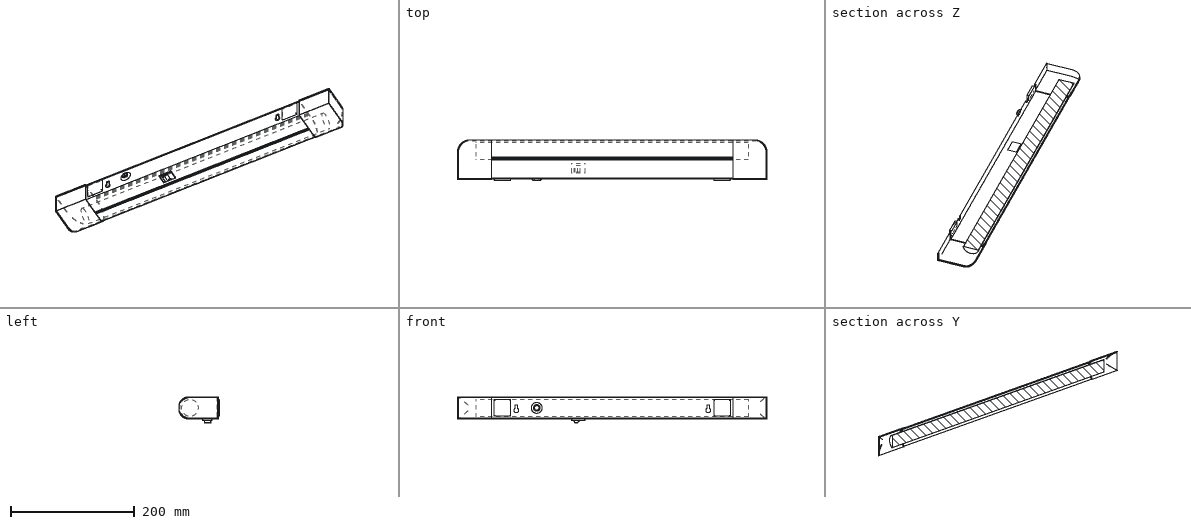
import cadquery as cq
import math


LENGTH = 500.0
BACK_Y = 33.0
FRONT_Y = -33.0
TOP_Z = 21.0
BOTTOM_Z = -21.0
BODY_HEIGHT = 36.0
HALF_HEIGHT = BODY_HEIGHT / 2
MID_Z = TOP_Z - HALF_HEIGHT
BODY_BOTTOM_Z = TOP_Z - BODY_HEIGHT
WALL = 1.5

HOUSING_LENGTH = 390.0
HOUSING_FRONT_Y = -30.0
HOUSING_EDGE_RADIUS = 1.25

GROOVE_Y = 3.0
GROOVE_WIDTH = 4.5
GROOVE_FLOOR_WIDTH = 1.5
GROOVE_DEPTH = 0.5

KEYHOLE_X = 155.0
KEYHOLE_Z = -1.0
KEYHOLE_DIAMETER = 7.5
KEYHOLE_SLOT_WIDTH = 4.5
KEYHOLE_TOP_Z = 8.0

PAD_X = 177.5
PAD_SIZE = 26.5
PAD_EDGE_RADIUS = 1.4

BUSH_X = -122.0
BUSH_BASE_DIAMETER = 17.5
BUSH_TIP_DIAMETER = 10.5
BUSH_HOLE_DIAMETER = 7.5

SWITCH_X = -55.0
SWITCH_Y = -13.0
SWITCH_PLATE_LENGTH = 21.5
SWITCH_PLATE_WIDTH = 15.0
SWITCH_PLATE_THICKNESS = 2.5
ROCKER_X = -57.0
ROCKER_Y = -13.5
ROCKER_LENGTH = 10.0
ROCKER_WIDTH = 10.5
ROCKER_LEAN = 1.5
ROCKER_FLAT_LENGTH = 4.0

CAP_LENGTH = (LENGTH - HOUSING_LENGTH) / 2
CAP_FRONT_Y = -31.0
CAP_BACK_RADIUS = 16.0
CAP_END_RADIUS = 20.0

LAMP_DIAMETER = 27.0
LAMP_LENGTH = 440.0
LAMP_Y = BACK_Y - HALF_HEIGHT


def bar(start_x, length, front_y, back_radius, inset=0.0):
    """Bar along X with a flat front and two rounded back edges, shrunk by inset all round."""
    radius = back_radius - inset
    half_height = HALF_HEIGHT - inset
    front = front_y + inset
    back = BACK_Y - inset
    tangent_y = back - radius
    flat_half = half_height - radius
    diagonal = radius * math.sqrt(0.5)
    outline = (
        cq.Workplane("YZ", origin=(start_x, 0, MID_Z))
        .moveTo(front, -half_height)
        .lineTo(tangent_y, -half_height)
        .threePointArc((tangent_y + diagonal, -flat_half - diagonal), (back, -flat_half))
    )
    if flat_half > 0:
        outline = outline.lineTo(back, flat_half)
    outline = outline.threePointArc((tangent_y + diagonal, flat_half + diagonal), (tangent_y, half_height))
    return outline.lineTo(front, half_height).close().extrude(length)


def groove(surface_z, inward):
    """Cutter for a flared groove; inward is -1 below a top surface and +1 above a bottom one."""
    floor_z = surface_z + inward * GROOVE_DEPTH
    return (
        cq.Workplane("YZ", origin=(-HOUSING_LENGTH / 2, GROOVE_Y, 0))
        .polyline([
            (-GROOVE_WIDTH / 2, surface_z),
            (GROOVE_WIDTH / 2, surface_z),
            (GROOVE_FLOOR_WIDTH / 2, floor_z),
            (-GROOVE_FLOOR_WIDTH / 2, floor_z),
        ])
        .close()
        .extrude(HOUSING_LENGTH)
    )


def keyhole(x):
    """Cutter for a keyhole through the front wall: round entry below, narrow slot above."""
    plane = cq.Workplane("XZ", origin=(x, HOUSING_FRONT_Y, 0))
    entry = plane.center(0, KEYHOLE_Z).circle(KEYHOLE_DIAMETER / 2).extrude(-WALL)
    slot_height = KEYHOLE_TOP_Z - KEYHOLE_Z
    slot = (
        plane.center(0, KEYHOLE_Z + slot_height / 2)
        .rect(KEYHOLE_SLOT_WIDTH, slot_height)
        .extrude(-WALL)
    )
    return entry.union(slot)


def pad(x):
    """Square pad on the front face with rounded outer edges."""
    depth = HOUSING_FRONT_Y - FRONT_Y
    block = (
        cq.Workplane("XZ", origin=(x, HOUSING_FRONT_Y, MID_Z))
        .rect(PAD_SIZE, PAD_SIZE)
        .extrude(depth)
    )
    return block.faces("<Y").edges().fillet(PAD_EDGE_RADIUS)


def bush():
    """Conical bush on the front face."""
    tip_y = HOUSING_FRONT_Y - FRONT_Y
    return (
        cq.Workplane("XY")
        .polyline([(0, 0), (BUSH_BASE_DIAMETER / 2, 0), (BUSH_TIP_DIAMETER / 2, -tip_y), (0, -tip_y)])
        .close()
        .revolve(360, (0, 0, 0), (0, 1, 0))
        .translate((BUSH_X, HOUSING_FRONT_Y, MID_Z))
    )


def bush_hole():
    """Cutter for the blind hole in the tip of the bush, as deep as the bush is tall."""
    return (
        cq.Workplane("XZ", origin=(BUSH_X, FRONT_Y, MID_Z))
        .circle(BUSH_HOLE_DIAMETER / 2)
        .extrude(FRONT_Y - HOUSING_FRONT_Y)
    )


def switch():
    """Switch plate with a tilted rocker below it."""
    plate = (
        cq.Workplane("XY", origin=(SWITCH_X, SWITCH_Y, BODY_BOTTOM_Z))
        .rect(SWITCH_PLATE_LENGTH, SWITCH_PLATE_WIDTH)
        .extrude(-SWITCH_PLATE_THICKNESS)
    )
    plate_z = BODY_BOTTOM_Z - SWITCH_PLATE_THICKNESS
    rocker_start = -ROCKER_LENGTH / 2
    flat_start = rocker_start + ROCKER_LEAN
    rocker = (
        cq.Workplane("XZ", origin=(ROCKER_X, ROCKER_Y, 0))
        .polyline([
            (rocker_start, plate_z),
            (flat_start, BOTTOM_Z),
            (flat_start + ROCKER_FLAT_LENGTH, BOTTOM_Z),
            (ROCKER_LENGTH / 2, plate_z),
        ])
        .close()
        .extrude(ROCKER_WIDTH / 2, both=True)
    )
    return plate.union(rocker)


def make_housing():
    """Hollow housing with its grooves, keyholes, pads, bush and switch."""
    start_x = -HOUSING_LENGTH / 2
    outer = bar(start_x, HOUSING_LENGTH, HOUSING_FRONT_Y, HALF_HEIGHT)
    outer = outer.edges("|X and <Y").fillet(HOUSING_EDGE_RADIUS)
    housing = outer.cut(bar(start_x, HOUSING_LENGTH, HOUSING_FRONT_Y, HALF_HEIGHT, WALL))
    housing = housing.cut(groove(TOP_Z, -1)).cut(groove(BODY_BOTTOM_Z, 1))
    for side in (-1, 1):
        housing = housing.cut(keyhole(side * KEYHOLE_X))
        housing = housing.union(pad(side * PAD_X))
    return housing.union(bush()).cut(bush_hole()).union(switch())


def cap_block(inset):
    """Left cap shape shrunk by inset everywhere except at its open, inner end."""
    end_x = -LENGTH / 2 + inset
    length = CAP_LENGTH - inset
    block = bar(end_x, length, CAP_FRONT_Y, CAP_BACK_RADIUS, inset)
    width = BACK_Y - CAP_FRONT_Y - 2 * inset
    rounded_end = (
        cq.Workplane("XY")
        .box(length, width, BODY_HEIGHT, centered=False)
        .edges("|Z and <X and >Y")
        .fillet(CAP_END_RADIUS - inset)
        .translate((end_x, CAP_FRONT_Y + inset, BODY_BOTTOM_Z))
    )
    return block.intersect(rounded_end)


def make_cap(side):
    """Hollow end cap; side is -1 for the left end and +1 for the right end."""
    cap = cap_block(0).cut(cap_block(WALL))
    if side > 0:
        cap = cap.mirror("YZ")
    return cap


def make_lamp():
    """Lamp tube along the axis of the rounded light cover."""
    return (
        cq.Workplane("YZ", origin=(-LAMP_LENGTH / 2, LAMP_Y, MID_Z))
        .circle(LAMP_DIAMETER / 2)
        .extrude(LAMP_LENGTH)
    )


housing = make_housing()
caps = [make_cap(side) for side in (-1, 1)]
lamp = make_lamp()

result = cq.Compound.makeCompound([housing.val(), *[cap.val() for cap in caps], lamp.val()])